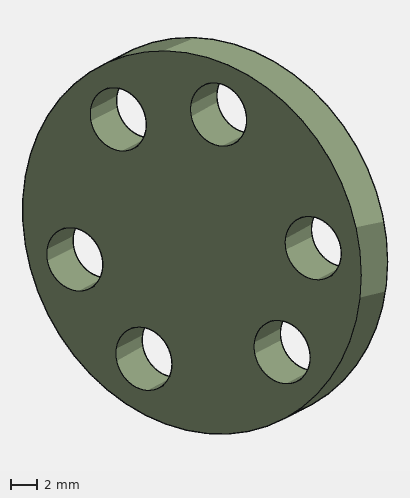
import cadquery as cq

disc_diameter = 30.05
disc_thickness = 3.82

hole_diameter = 4.95
hole_circle_radius = 10.85
hole_angles = (7.5, 77.4, 127.0, 196.8, 246.9, 317.5)


def make_cylinder(diameter):
    """Cylinder along Y, as long as the disc is thick and centred on the origin."""
    return (
        cq.Workplane("XZ", origin=(0, disc_thickness / 2, 0))
        .circle(diameter / 2)
        .extrude(disc_thickness)
    )


def make_hole(angle):
    """Cutter for the through hole at the given angle on the hole circle."""
    hole_on_x_axis = make_cylinder(hole_diameter).translate((hole_circle_radius, 0, 0))
    return hole_on_x_axis.rotate((0, 0, 0), (0, -1, 0), angle)


result = make_cylinder(disc_diameter)
for hole_angle in hole_angles:
    result = result.cut(make_hole(hole_angle))